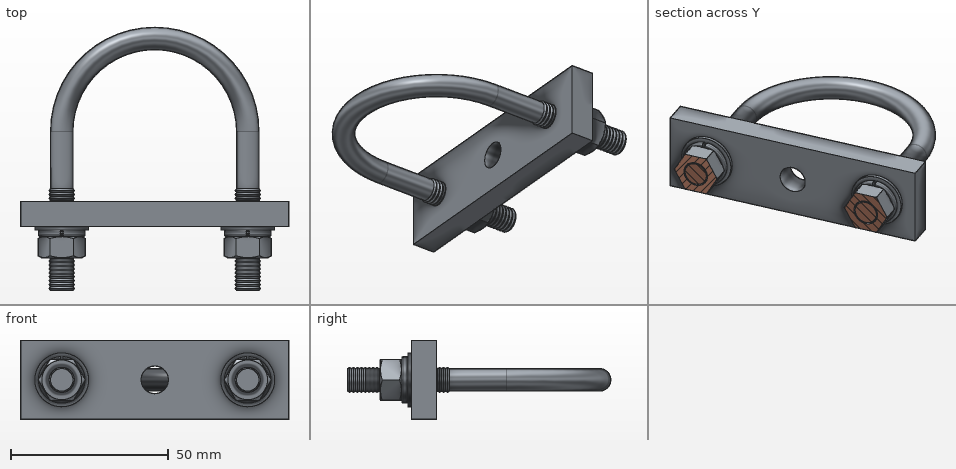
import cadquery as cq
import math


plate_length = 85.0
plate_thickness = 8.0
plate_height = 25.0
centre_hole_diameter = 8.7

leg_spacing = 59.0
rod_diameter = 7.1
thread_diameter = 8.0
thread_length = 32.3
thread_turns = 26
leg_projection = 20.2
overall_depth = 83.5

washer_diameter = 17.1
washer_thickness = 1.1

spring_diameter = 14.8
spring_thickness = 1.95
spring_edge_radius = 0.5
spring_gap = 0.9

nut_across_flats = 13.0
nut_height = 6.9
nut_face_diameter = 12.6
nut_chamfer_angle = 30.0

leg_x_positions = (-leg_spacing / 2, leg_spacing / 2)
bend_radius = leg_spacing / 2
leg_end_y = -leg_projection
bend_centre_y = leg_end_y + overall_depth - bend_radius - rod_diameter / 2
thread_pitch = thread_length / thread_turns
spring_back_y = -washer_thickness
nut_back_y = spring_back_y - spring_thickness


def cylinder(diameter, length, x=0.0, back_y=0.0):
    """Cylinder along Y that runs from back_y towards -Y."""
    return cq.Workplane("XZ", origin=(x, back_y, 0)).circle(diameter / 2).extrude(length)


def make_plate():
    """Rectangular bar with a centre hole and one hole for each bolt leg."""
    plate = cq.Workplane("XY").box(plate_length, plate_thickness, plate_height)
    plate = plate.translate((0, plate_thickness / 2, 0))
    plate = plate.cut(cylinder(centre_hole_diameter, plate_thickness, 0.0, plate_thickness))
    for x in leg_x_positions:
        plate = plate.cut(cylinder(thread_diameter, plate_thickness, x, plate_thickness))
    return plate


def make_leg(x):
    """Straight leg whose thread is a row of V-shaped rings on the rod diameter."""
    root_radius = rod_diameter / 2
    crest_radius = thread_diameter / 2
    outline = [(0, leg_end_y), (root_radius, leg_end_y)]
    for turn in range(thread_turns):
        turn_y = leg_end_y + turn * thread_pitch
        outline.append((crest_radius, turn_y + thread_pitch / 2))
        outline.append((root_radius, turn_y + thread_pitch))
    outline += [(root_radius, bend_centre_y), (0, bend_centre_y)]
    leg = cq.Workplane("XY").polyline(outline).close().revolve(360, (0, 0, 0), (0, 1, 0))
    return leg.translate((x, 0, 0))


def make_u_bolt():
    """Half-circle bend joined to two threaded legs."""
    bend = (
        cq.Workplane("XZ", origin=(0, bend_centre_y, 0))
        .center(bend_radius, 0)
        .circle(rod_diameter / 2)
        .revolve(180, (-bend_radius, 0, 0), (-bend_radius, 1, 0))
    )
    u_bolt = bend
    for x in leg_x_positions:
        u_bolt = u_bolt.union(make_leg(x))
    return u_bolt


def make_washer(x):
    """Plain flat washer against the plate."""
    washer = cylinder(washer_diameter, washer_thickness, x)
    return washer.cut(cylinder(thread_diameter, washer_thickness, x))


def make_spring_washer(x):
    """Ring with rounded outer edges, split by a gap on its +Z side."""
    ring = cylinder(spring_diameter, spring_thickness, x, spring_back_y)
    ring = ring.edges("%CIRCLE").fillet(spring_edge_radius)
    ring = ring.cut(cylinder(thread_diameter, spring_thickness, x, spring_back_y))
    gap = cq.Workplane("XY").box(spring_gap, spring_thickness, spring_diameter, centered=(True, False, False))
    return ring.cut(gap.translate((x, spring_back_y - spring_thickness, 0)))


def make_nut(x):
    """Hexagon nut, corners along X, with both ends turned to a cone."""
    corner_diameter = nut_across_flats / math.cos(math.pi / 6)
    corner_radius = corner_diameter / 2
    face_radius = nut_face_diameter / 2
    chamfer_height = (corner_radius - face_radius) * math.tan(math.radians(nut_chamfer_angle))
    hexagon = cq.Workplane("XZ").polygon(6, corner_diameter).extrude(nut_height)
    turned_blank = (
        cq.Workplane("XY")
        .lineTo(face_radius, 0)
        .lineTo(corner_radius, -chamfer_height)
        .lineTo(corner_radius, chamfer_height - nut_height)
        .lineTo(face_radius, -nut_height)
        .lineTo(0, -nut_height)
        .close()
        .revolve(360, (0, 0, 0), (0, 1, 0))
    )
    nut = hexagon.intersect(turned_blank).cut(cylinder(thread_diameter, nut_height))
    return nut.translate((x, nut_back_y, 0))


plate = make_plate()
u_bolt = make_u_bolt()
washers = [make_washer(x) for x in leg_x_positions]
spring_washers = [make_spring_washer(x) for x in leg_x_positions]
nuts = [make_nut(x) for x in leg_x_positions]

fasteners = [body.val() for body in washers + spring_washers + nuts]
result = cq.Compound.makeCompound([plate.val(), u_bolt.val(), *fasteners])